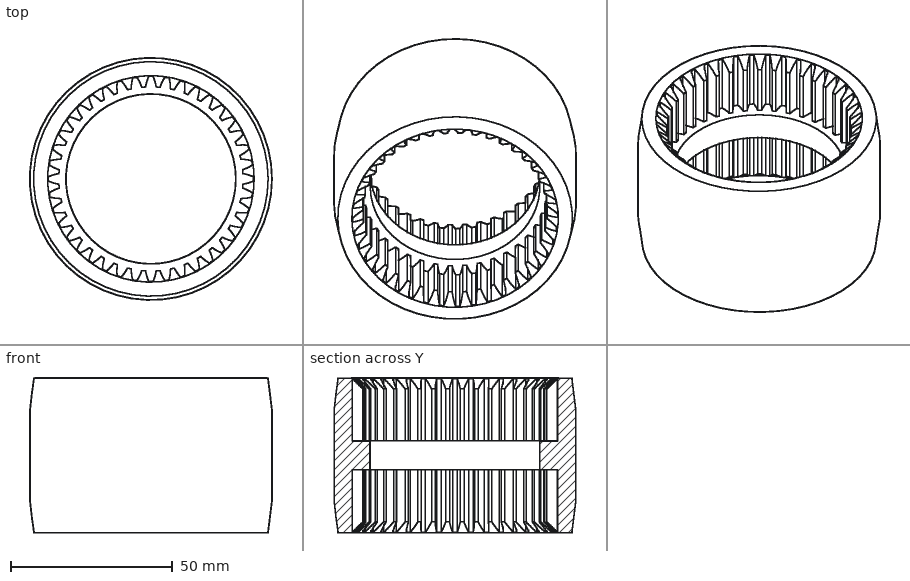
import cadquery as cq
import math

outer_diameter = 75.0
sleeve_length = 48.0
taper_length = 10.0
taper_angle = 7.0
rim_round_width = 0.75
rim_round_radius = 1.95

bore_diameter = 52.5
land_length = 9.0

tooth_count = 40
root_radius = 31.7
tip_radius = 28.5
root_gap = 1.35
middle_gap = 2.55
tip_gap = 3.3
lead_in_radius = 31.95

outer_radius = outer_diameter / 2
half_length = sleeve_length / 2
half_land = land_length / 2
bore_radius = bore_diameter / 2
middle_radius = (root_radius + tip_radius) / 2
pitch_angle = 2 * math.pi / tooth_count
lead_in_depth = lead_in_radius - tip_radius


def revolve_about_z(profile):
    """Turn a closed radius-height profile around the Z axis."""
    return profile.revolve(360, (0, 0, 0), (0, 1, 0))


def make_body():
    """Full-length sleeve with tapered ends, rounded rims and plain bore."""
    rim_radius = outer_radius - taper_length * math.tan(math.radians(taper_angle))
    face_radius = rim_radius - rim_round_width
    round_angle = math.asin(rim_round_width / rim_round_radius)
    taper_start = half_length - taper_length

    def rim_point(angle, end):
        """Point on the rim rounding, tangent to the end face at angle zero; end is 1 or -1."""
        radius = face_radius + rim_round_radius * math.sin(angle)
        height = half_length - rim_round_radius * (1 - math.cos(angle))
        return (radius, end * height)

    return revolve_about_z(
        cq.Workplane("XZ")
        .moveTo(bore_radius, -half_length)
        .lineTo(*rim_point(0, -1))
        .threePointArc(rim_point(round_angle / 2, -1), rim_point(round_angle, -1))
        .lineTo(outer_radius, -taper_start)
        .lineTo(outer_radius, taper_start)
        .lineTo(*rim_point(round_angle, 1))
        .threePointArc(rim_point(round_angle / 2, 1), rim_point(0, 1))
        .lineTo(bore_radius, half_length)
        .close()
    )


def polar_point(radius, angle):
    """Point in the XY plane at a radius and an angle in radians."""
    return (radius * math.cos(angle), radius * math.sin(angle))


def gap_half_angle(gap, radius):
    """Half of the angle spanned by a tooth space of the given width."""
    return math.asin(gap / 2 / radius)


def make_toothed_hole():
    """Toothed volume from the land to the end face, with a tooth space centred on the X axis."""
    tip_angle = gap_half_angle(tip_gap, tip_radius)
    middle_angle = gap_half_angle(middle_gap, middle_radius)
    root_angle = gap_half_angle(root_gap, root_radius)

    outline = cq.Workplane("XY", origin=(0, 0, half_land))
    outline = outline.moveTo(*polar_point(tip_radius, -tip_angle))
    for index in range(tooth_count):
        centre = index * pitch_angle
        next_tip = polar_point(tip_radius, centre + pitch_angle - tip_angle)
        outline = (
            outline
            .threePointArc(
                polar_point(middle_radius, centre - middle_angle),
                polar_point(root_radius, centre - root_angle),
            )
            .threePointArc(
                polar_point(root_radius, centre),
                polar_point(root_radius, centre + root_angle),
            )
            .threePointArc(
                polar_point(middle_radius, centre + middle_angle),
                polar_point(tip_radius, centre + tip_angle),
            )
            .threePointArc(polar_point(tip_radius, centre + pitch_angle / 2), next_tip)
        )
    return outline.close().extrude(half_length - half_land)


def make_lead_in():
    """Cone that slopes the tooth ends from the end face down to the tooth tips."""
    return revolve_about_z(
        cq.Workplane("XZ")
        .moveTo(0, half_length)
        .lineTo(lead_in_radius, half_length)
        .lineTo(tip_radius, half_length - lead_in_depth)
        .lineTo(0, half_length - lead_in_depth)
        .close()
    )


upper_cut = make_toothed_hole().union(make_lead_in())
lower_cut = upper_cut.mirror("XY")
result = make_body().cut(upper_cut).cut(lower_cut)